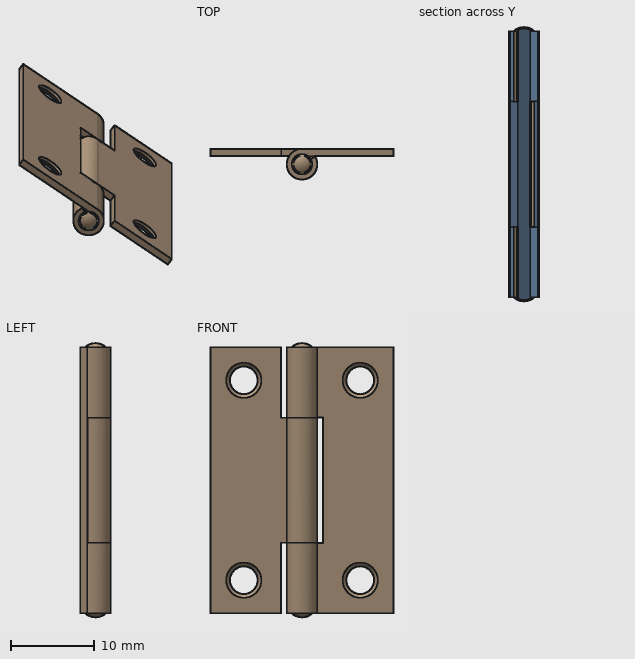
import cadquery as cq
import math

hinge_width = 22.0
hinge_height = 33.0
head_height = 0.5
leaf_height = hinge_height - 2 * head_height
half_width = hinge_width / 2
half_height = leaf_height / 2

knuckle_radius = 1.85
sheet_thickness = 0.85
bore_radius = knuckle_radius - sheet_thickness
roll_end_angle = 30.0
middle_knuckle_length = 15.05
half_middle = middle_knuckle_length / 2
outer_knuckle_length = half_height - half_middle
notch_edge = 2.5

hole_x = 7.0
hole_z = 12.0
hole_radius = 1.65
countersink_radius = 2.1
countersink_depth = countersink_radius - hole_radius

head_radius = 1.22


def point_on_circle(radius, angle):
    """XY point at an angle in degrees from +X."""
    return (radius * math.cos(math.radians(angle)), radius * math.sin(math.radians(angle)))


def rolled_strip(bottom, length):
    """Flat sheet reaching toward +X whose end curls once around the pin axis."""
    mid_angle = (90 + 360 + roll_end_angle) / 2
    return (
        cq.Workplane("XY", origin=(0, 0, bottom))
        .moveTo(half_width, knuckle_radius)
        .lineTo(0, knuckle_radius)
        .threePointArc(
            point_on_circle(knuckle_radius, mid_angle),
            point_on_circle(knuckle_radius, roll_end_angle),
        )
        .lineTo(*point_on_circle(bore_radius, roll_end_angle))
        .threePointArc(point_on_circle(bore_radius, mid_angle), (0, bore_radius))
        .lineTo(half_width, bore_radius)
        .close()
        .extrude(length)
    )


def leaf_plate():
    """Flat part of a leaf on the +X side, clear of the opposite knuckles."""
    return cq.Workplane("XY").box(
        half_width - notch_edge, sheet_thickness, leaf_height, centered=(False, False, True)
    ).translate((notch_edge, bore_radius, 0))


def screw_hole(z):
    """Cutter for a through hole countersunk on the pin side of the sheet."""
    return (
        cq.Workplane("XY")
        .polyline([
            (0, 0),
            (countersink_radius, 0),
            (hole_radius, countersink_depth),
            (hole_radius, sheet_thickness),
            (0, sheet_thickness),
        ])
        .close()
        .revolve(360, (0, 0, 0), (0, 1, 0))
        .translate((hole_x, bore_radius, z))
    )


def make_leaf(knuckles):
    """Leaf on the +X side; knuckles lists the (bottom, length) of each rolled strip."""
    leaf = leaf_plate()
    for bottom, length in knuckles:
        leaf = leaf.union(rolled_strip(bottom, length))
    for z in (-hole_z, hole_z):
        leaf = leaf.cut(screw_hole(z))
    return leaf


def make_pin():
    """Shaft filling the bores, with a domed head resting on each end knuckle."""
    rim_angle = 2 * math.atan(head_height / head_radius)
    dome_radius = head_radius / math.sin(rim_angle)
    dome_center = half_height + head_height - dome_radius
    dome_mid = (
        dome_radius * math.sin(rim_angle / 2),
        dome_center + dome_radius * math.cos(rim_angle / 2),
    )
    return (
        cq.Workplane("XZ")
        .moveTo(0, -half_height - head_height)
        .threePointArc((dome_mid[0], -dome_mid[1]), (head_radius, -half_height))
        .lineTo(bore_radius, -half_height)
        .lineTo(bore_radius, half_height)
        .lineTo(head_radius, half_height)
        .threePointArc(dome_mid, (0, half_height + head_height))
        .close()
        .revolve(360, (0, 0, 0), (0, 1, 0))
    )


right_leaf = make_leaf([
    (-half_height, outer_knuckle_length),
    (half_middle, outer_knuckle_length),
])
left_leaf = make_leaf([(-half_middle, middle_knuckle_length)]).mirror("YZ")
pin = make_pin()

result = cq.Compound.makeCompound([right_leaf.val(), left_leaf.val(), pin.val()])